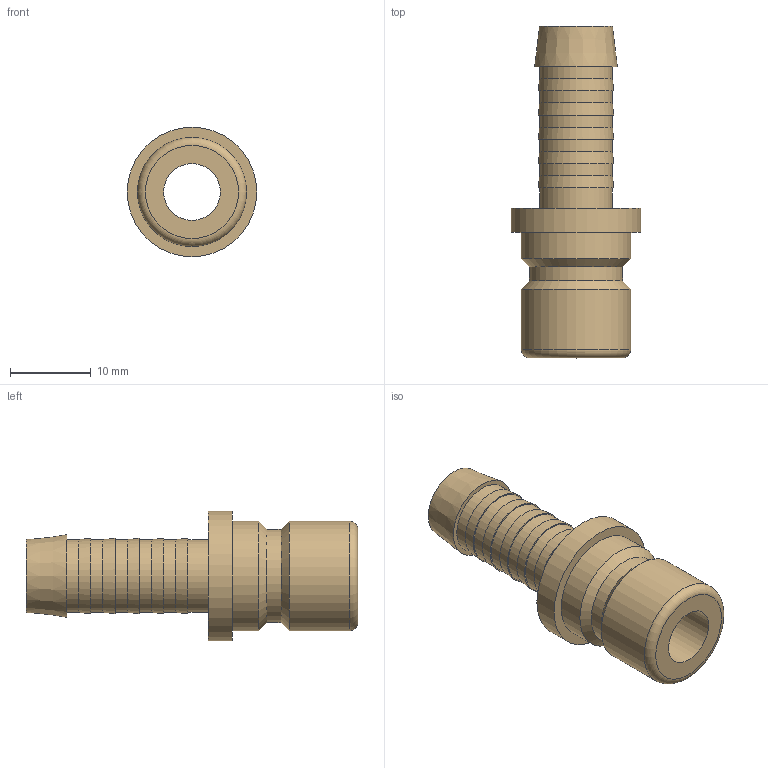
import cadquery as cq


bore_diameter = 7.0
plug_diameter = 13.5
neck_diameter = 11.5
collar_diameter = 16.0
tail_diameter = 9.0
ridge_diameter = 9.3
head_diameter = 10.2

overall_length = 41.0
nose_radius = 1.0
plug_length = 8.5
neck_length = 1.75
shoulder_length = 3.25
collar_length = 3.0
head_length = 5.0

ridge_count = 5
ridge_length = 1.5
ridge_pitch = 2 * ridge_length

groove_slope_length = (plug_diameter - neck_diameter) / 2

neck_start = plug_length + groove_slope_length
neck_end = neck_start + neck_length
shoulder_start = neck_end + groove_slope_length
collar_start = shoulder_start + shoulder_length
collar_end = collar_start + collar_length
head_start = overall_length - head_length


def cylinder(diameter, start, end):
    """Round bar on the Y axis between two places."""
    return cone(diameter, diameter, start, end)


def cone(start_diameter, end_diameter, start, end):
    """Round bar on the Y axis whose diameter changes evenly between two places."""
    profile = [
        (0, start),
        (start_diameter / 2, start),
        (end_diameter / 2, end),
        (0, end),
    ]
    return cq.Workplane("XY").polyline(profile).close().revolve(360, (0, 0), (0, 1))


def make_plug():
    """Plug with a rounded nose and a V-sided locking groove."""
    nose = cylinder(plug_diameter, 0, plug_length).faces("<Y").edges().fillet(nose_radius)
    front_slope = cone(plug_diameter, neck_diameter, plug_length, neck_start)
    neck = cylinder(neck_diameter, neck_start, neck_end)
    rear_slope = cone(neck_diameter, plug_diameter, neck_end, shoulder_start)
    shoulder = cylinder(plug_diameter, shoulder_start, collar_start)
    return nose.union(front_slope).union(neck).union(rear_slope).union(shoulder)


def make_hose_tail():
    """Hose tail with tapered ridges and a larger tapered head at its end."""
    tail = cylinder(tail_diameter, collar_end, head_start)
    for index in range(ridge_count):
        ridge_start = head_start - (index + 1) * ridge_pitch
        ridge_end = ridge_start + ridge_length
        tail = tail.union(cone(ridge_diameter, tail_diameter, ridge_start, ridge_end))
    return tail.union(cone(head_diameter, tail_diameter, head_start, overall_length))


collar = cylinder(collar_diameter, collar_start, collar_end)
bore = cylinder(bore_diameter, 0, overall_length)
result = make_plug().union(collar).union(make_hose_tail()).cut(bore)